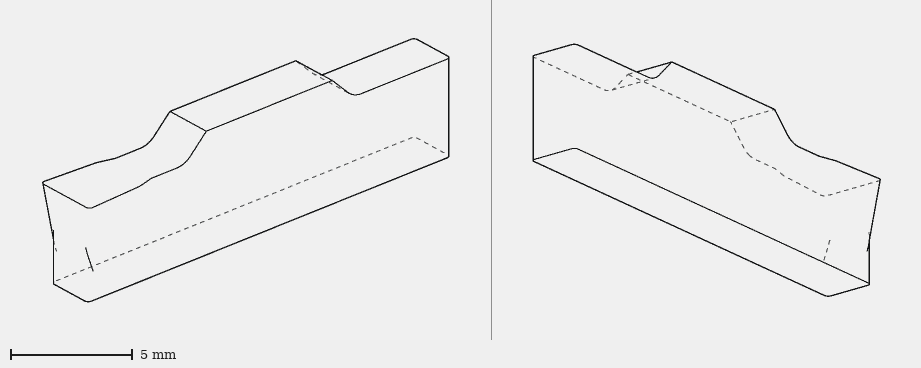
import cadquery as cq
import math


shank_width = 2.3
shank_length = 19.69
ledge_height = 4.6
corner_radius = 0.2
half_shank = shank_width / 2
back_y = shank_length / 2

top_height = 5.76
hump_top_length = 6.83
hump_slope_angle = 45
hump_foot_radius = 1.05

overall_length = 19.94
head_width = 3.05
head_depth = 3.5
side_clearance_angle = 6.1
front_clearance_angle = 7
side_taper_angle = 3.3
neck_corner_distance = 2.88
neck_start_distance = 3.72
neck_blend_radius = 0.25
cutting_edge_y = back_y - overall_length


def make_shank():
    """Rectangular bar with rounded upright corners."""
    bar = cq.Workplane("XY").box(shank_width, shank_length, ledge_height, centered=(True, True, False))
    return bar.edges("|Z").fillet(corner_radius)


def make_hump():
    """Flat-topped rise whose sloped ends run into the ledge through tangent arcs."""
    slope = math.radians(hump_slope_angle)
    half_top = hump_top_length / 2
    arc_rise = hump_foot_radius * (1 - math.cos(slope))
    arc_top_z = ledge_height + arc_rise
    arc_top_y = half_top + (top_height - arc_top_z) / math.tan(slope)
    foot_y = arc_top_y + hump_foot_radius * math.sin(slope)
    arc_middle_y = foot_y - hump_foot_radius * math.sin(slope / 2)
    arc_middle_z = ledge_height + hump_foot_radius * (1 - math.cos(slope / 2))
    base_z = ledge_height / 2
    return (
        cq.Workplane("YZ")
        .moveTo(-foot_y, base_z)
        .lineTo(-foot_y, ledge_height)
        .threePointArc((-arc_middle_y, arc_middle_z), (-arc_top_y, arc_top_z))
        .lineTo(-half_top, top_height)
        .lineTo(half_top, top_height)
        .lineTo(arc_top_y, arc_top_z)
        .threePointArc((arc_middle_y, arc_middle_z), (foot_y, ledge_height))
        .lineTo(foot_y, base_z)
        .close()
        .extrude(half_shank, both=True)
    )


def steep_edges_near(center_y):
    """Selector for the non-horizontal edges whose centers lie close to a station along Y."""
    half_range = 0.4
    low = (-head_width, center_y - half_range, 0)
    high = (head_width, center_y + half_range, top_height)
    not_horizontal = cq.selectors.InverseSelector(cq.selectors.PerpendicularDirSelector(cq.Vector(0, 0, 1)))
    return cq.selectors.BoxSelector(low, high) & not_horizontal


def make_head():
    """Flared head with clearance below its top outline on the sides and the front."""
    taper_angle = math.radians(side_taper_angle)
    taper = math.tan(taper_angle)
    half_head = head_width / 2 + corner_radius * (taper + 1 / math.cos(taper_angle) - 1)
    bend_y = cutting_edge_y + neck_corner_distance
    bend_x = half_head - neck_corner_distance * taper
    neck_y = cutting_edge_y + neck_start_distance
    neck_slope = (bend_x - half_shank) / (neck_y - bend_y)

    margin = 1.0
    outer_y = cutting_edge_y - margin
    outer_x = half_head + margin * taper
    inner_y = neck_y + margin
    inner_x = half_shank - margin * neck_slope
    flare = (
        cq.Workplane("XY", origin=(0, 0, ledge_height))
        .polyline([
            (-outer_x, outer_y),
            (outer_x, outer_y),
            (bend_x, bend_y),
            (inner_x, inner_y),
            (-inner_x, inner_y),
            (-bend_x, bend_y),
        ])
        .close()
        .extrude(-head_depth, taper=side_clearance_angle)
    )

    bottom_z = ledge_height - head_depth
    relief = head_depth * math.tan(math.radians(front_clearance_angle))
    side_profile = (
        cq.Workplane("YZ")
        .polyline([
            (cutting_edge_y, ledge_height),
            (neck_y, ledge_height),
            (neck_y, bottom_z),
            (cutting_edge_y + relief, bottom_z),
        ])
        .close()
        .extrude(head_width, both=True)
    )
    head = flare.intersect(side_profile)

    front_edge_y = cutting_edge_y + relief / 2
    head = head.edges(steep_edges_near(front_edge_y)).fillet(corner_radius)
    return head.edges(steep_edges_near(bend_y)).fillet(neck_blend_radius)


result = make_shank().union(make_hump()).union(make_head())